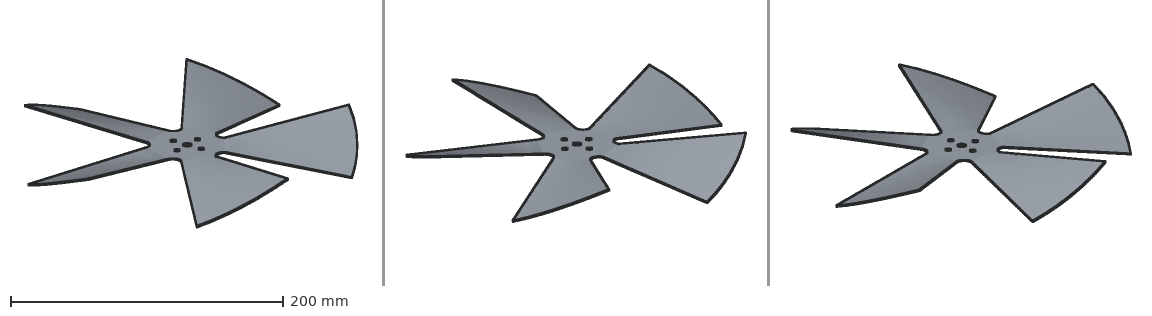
import cadquery as cq
import math

blade_count = 5
fan_radius = 125.0
thickness = 1.0

root_distance = 27.5
root_half_width = 13.5
scallop_radius = 27.5
bore_diameter = 6.0
bolt_hole_diameter = 4.0
bolt_circle_radius = 12.7
bolt_count = 4

end_distance = 126.1
twist_angle = 22.0
rising_reach = 45.0
falling_reach = 35.0

blade_pitch = 360 / blade_count
first_blade_angle = 180


def polar_point(radius, angle):
    return (radius * math.cos(math.radians(angle)), radius * math.sin(math.radians(angle)))


def make_hub():
    """Flat plate with one straight edge per blade and a scallop between neighbours."""
    corner_radius = math.hypot(root_distance, root_half_width)
    corner_angle = math.degrees(math.atan2(root_half_width, root_distance))
    outline = cq.Workplane("XY").workplane(offset=-thickness / 2)
    outline = outline.moveTo(*polar_point(corner_radius, first_blade_angle - corner_angle))
    for index in range(blade_count):
        blade_angle = first_blade_angle + index * blade_pitch
        next_angle = blade_angle + blade_pitch
        outline = outline.lineTo(*polar_point(corner_radius, blade_angle + corner_angle))
        outline = outline.threePointArc(
            polar_point(scallop_radius, blade_angle + blade_pitch / 2),
            polar_point(corner_radius, next_angle - corner_angle),
        )
    return outline.close().extrude(thickness)


def make_blade():
    """Blade along +X: a ruled twist from the flat root to the inclined end section."""
    end_width = rising_reach + falling_reach
    end_offset = (rising_reach - falling_reach) / 2
    blade = (
        cq.Workplane("YZ", origin=(root_distance, 0, 0))
        .rect(2 * root_half_width, thickness)
        .workplane(offset=end_distance - root_distance)
        .transformed(rotate=(0, 0, twist_angle))
        .center(end_offset, 0)
        .rect(end_width, thickness)
        .loft(ruled=True)
    )
    trim = cq.Workplane("XY").circle(fan_radius).extrude(fan_radius, both=True)
    return blade.intersect(trim)


result = make_hub()
blade = make_blade()
for index in range(blade_count):
    angle = first_blade_angle + index * blade_pitch
    result = result.union(blade.rotate((0, 0, 0), (0, 0, 1), angle))

result = result.cut(cq.Workplane("XY").circle(bore_diameter / 2).extrude(thickness, both=True))
bolt_holes = (
    cq.Workplane("XY")
    .polarArray(bolt_circle_radius, 0, 360, bolt_count)
    .circle(bolt_hole_diameter / 2)
    .extrude(thickness, both=True)
)
result = result.cut(bolt_holes)